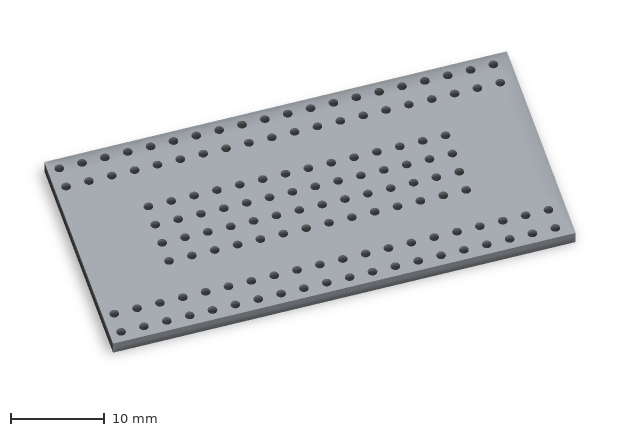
import cadquery as cq

board_width = 25.4
board_length = 51.4
board_thickness = 1.6
hole_diameter = 1.05

column_count = 10
row_count = 20
pitch = board_width / column_count
edge_margin = pitch / 2

side_columns = [0, 1, column_count - 2, column_count - 1]

block_inset = 3
block_columns = range(block_inset, column_count - block_inset)
block_rows = range(block_inset, row_count - block_inset)


def grid_points(columns, rows):
    """Hole centres for the given columns and rows, counted from the -X, -Y corner."""
    first_x = -board_width / 2 + edge_margin
    first_y = -board_length / 2 + edge_margin
    return [
        (first_x + column * pitch, first_y + row * pitch)
        for column in columns
        for row in rows
    ]


hole_centres = grid_points(side_columns, range(row_count)) + grid_points(block_columns, block_rows)

board = cq.Workplane("XY").box(board_width, board_length, board_thickness)

hole_pins = (
    cq.Workplane("XY")
    .pushPoints(hole_centres)
    .circle(hole_diameter / 2)
    .extrude(board_thickness, both=True)
)

result = board.cut(hole_pins)